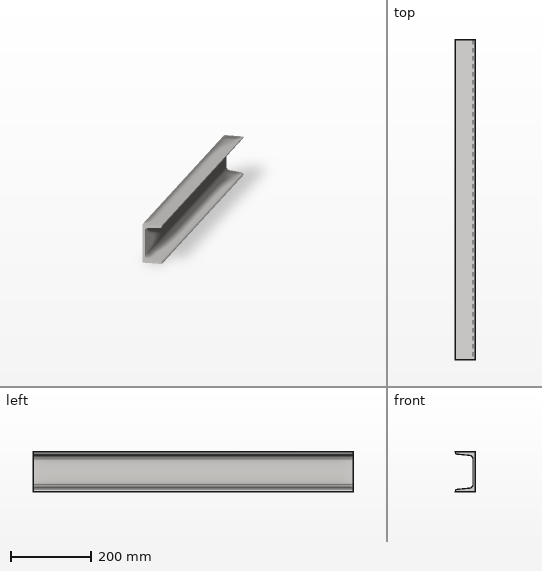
import cadquery as cq

length = 800.0
height = 100.0
flange_width = height / 2
web_thickness = 6.0
flange_slope = 0.1
flange_tip_thickness = 5.8
root_radius = 9.0
toe_radius = 5.2

tip_x = -flange_width / 2
back_x = flange_width / 2
web_x = back_x - web_thickness
top_z = height / 2


def inner_z(x):
    """Height of the sloping inner face of the upper flange at x."""
    return top_z - flange_tip_thickness - flange_slope * (x - tip_x)


outline = [
    (back_x, -top_z),
    (back_x, top_z),
    (tip_x, top_z),
    (tip_x, inner_z(tip_x)),
    (web_x, inner_z(web_x)),
    (web_x, -inner_z(web_x)),
    (tip_x, -inner_z(tip_x)),
    (tip_x, -top_z),
]

channel = cq.Workplane("XZ").polyline(outline).close().extrude(length / 2, both=True)


def round_inner_edges(body, x, radius):
    """Round the lengthwise edges at x on the inner faces of both flanges."""
    for side in (1, -1):
        edge_point = (x, 0, side * inner_z(x))
        body = body.edges(cq.selectors.NearestToPointSelector(edge_point)).fillet(radius)
    return body


channel = round_inner_edges(channel, web_x, root_radius)
result = round_inner_edges(channel, tip_x, toe_radius)